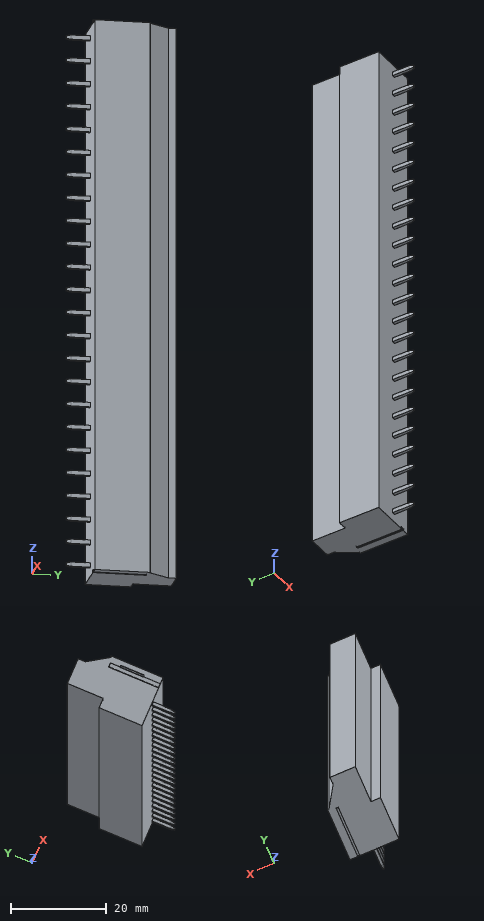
import cadquery as cq

total_height = 120.5
rib_height = 0.5
body_height = total_height - rib_height

pin_count = 24
pitch = body_height / pin_count
pin_length = 5.1
pin_width = 0.7
pin_height = 1.0
pin_tip_length = 1.0
pin_tip_inset = 0.18
pin_x = 5.7
pin_root = 0.6

body_width = 11.2
body_depth = 18.0
back_step_x = 2.2
back_step_y = 9.8
slope_start_x = 8.0
slope_start_y = 16.3
slope_end_x = 10.8
ledge_y = 11.8

rib_x = 9.2
rib_root_width = 0.5
rib_crest_width = 1.0
rib_length = 11.3

recess_x = rib_x + rib_crest_width / 2
recess_y = 3.9
recess_width = 0.5
recess_length = 5.3
recess_depth = 0.4


def make_housing():
    outline = [
        (0, 0),
        (body_width, 0),
        (body_width, ledge_y),
        (slope_end_x, ledge_y),
        (slope_start_x, slope_start_y),
        (slope_start_x, body_depth),
        (back_step_x, body_depth),
        (back_step_x, back_step_y),
        (0, back_step_y),
    ]
    return cq.Workplane("XY").polyline(outline).close().extrude(body_height)


def make_rib(base_z):
    """Dovetail bar along +Y, standing on base_z and widening upwards."""
    half_root = rib_root_width / 2
    half_crest = rib_crest_width / 2
    profile = [
        (rib_x - half_root, base_z),
        (rib_x + half_root, base_z),
        (rib_x + half_crest, base_z + rib_height),
        (rib_x - half_crest, base_z + rib_height),
    ]
    return cq.Workplane("XZ").polyline(profile).close().extrude(-rib_length)


def make_recess():
    return (
        cq.Workplane("XY")
        .box(recess_width, recess_length, recess_depth, centered=False)
        .translate((recess_x, recess_y, body_height - recess_depth))
    )


def make_pin(center_z):
    """Rectangular pin pointing along -Y with a tapered tip."""
    shank_length = pin_length - pin_tip_length
    shank = (
        cq.Workplane("XZ", origin=(pin_x, pin_root, center_z))
        .rect(pin_width, pin_height)
        .extrude(pin_root + shank_length)
    )
    tip = (
        cq.Workplane("XZ", origin=(pin_x, -shank_length, center_z))
        .rect(pin_width, pin_height)
        .workplane(offset=pin_tip_length)
        .rect(pin_width - 2 * pin_tip_inset, pin_height - 2 * pin_tip_inset)
        .loft(combine=True)
    )
    return shank.union(tip)


result = make_housing().cut(make_rib(0)).cut(make_recess()).union(make_rib(body_height))
for index in range(pin_count):
    result = result.union(make_pin((index + 0.5) * pitch))